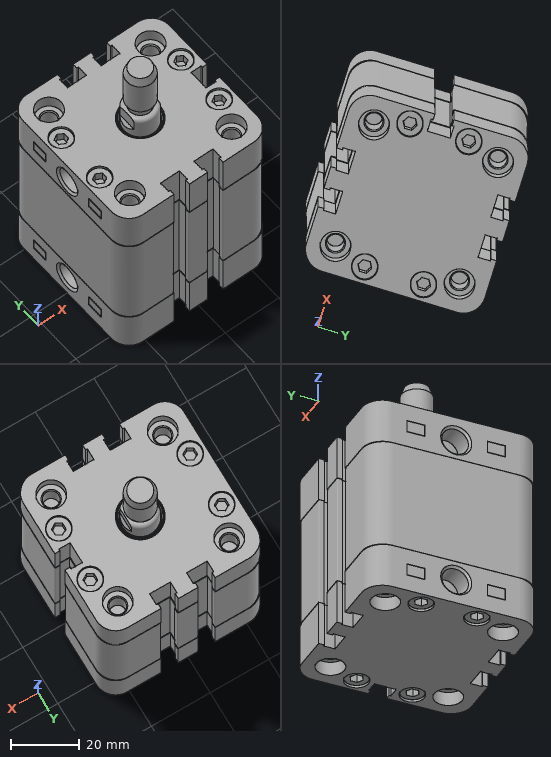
import cadquery as cq
import math


total_height = 91.0
body_height = 65.0
cover_height = 14.5
barrel_height = body_height - 2 * cover_height
front_cover_base = body_height - cover_height

cover_width = 54.8
cover_corner_radius = 6.6
barrel_inset = 0.1
barrel_width = cover_width - 2 * barrel_inset
barrel_corner_radius = 7.0

slot_depth = 5.55
slot_width = 7.0
slot_mouth_width = 5.8
slot_lip_depth = 1.8
slot_offset = 6.3
barrel_slot_clearance = 0.1
barrel_slot_depth = 5.3
barrel_slot_width = slot_width - 2 * barrel_slot_clearance
barrel_slot_mouth_width = slot_mouth_width - 2 * barrel_slot_clearance
barrel_slot_lip_depth = 1.6
barrel_slot_offset = 6.4
barrel_slot_mouth_radius = 0.3

port_distance = 8.0
port_diameter = 8.55
port_mouth_diameter = 10.0
cover_core_diameter = 40.0
label_distance = 7.4
label_offset = 13.0
label_length = 5.7
label_height = 3.8
label_depth = 0.2

mount_offset = 19.0
mount_bore_diameter = 9.0
mount_bore_depth = 4.55
thread_mouth_diameter = 5.9
thread_diameter = 5.2
thread_depth = 8.0

screw_x = 22.4
screw_y = 9.0
screw_hole_diameter = 7.7
screw_head_diameter = 7.5
screw_sink = 0.7
screw_edge_chamfer = (screw_hole_diameter - screw_head_diameter) / 2
socket_width = 3.6
socket_depth = 3.0

seal_mouth_diameter = 14.6
seal_groove_diameter = 14.0
seal_lip_diameter = 13.7
seal_lip_crest_diameter = 13.3
seal_bore_diameter = 12.6
seal_depth = 1.0
seal_mouth_chamfer = (seal_mouth_diameter - seal_groove_diameter) / 2
seal_flare_depth = 0.55

rod_diameter = 12.0
shoulder_height = 72.1
shoulder_fillet = 1.3
flats_width = 10.0
flats_base = 67.5
neck_diameter = 7.9
thread_end_diameter = 10.0
runout_bottom = 74.35
runout_top = runout_bottom + (thread_end_diameter - neck_diameter) / 2
tip_diameter = neck_diameter
tip_chamfer_base = 88.1


def t_slot(face_x, depth, width, mouth_width, lip_depth, mouth_radius, height):
    """T-slot cutter that opens through a face at X = face_x, its mouth edges rounded if a radius is given."""
    half = width / 2
    half_mouth = mouth_width / 2
    lip_x = face_x - lip_depth
    outline = (
        cq.Workplane("XY")
        .moveTo(face_x - depth, -half)
        .lineTo(lip_x, -half)
        .lineTo(lip_x, -half_mouth)
        .lineTo(face_x - mouth_radius, -half_mouth)
    )
    if mouth_radius > 0:
        outline = outline.radiusArc((face_x, -half_mouth - mouth_radius), mouth_radius)
        outline = outline.lineTo(face_x, half_mouth + mouth_radius)
        outline = outline.radiusArc((face_x - mouth_radius, half_mouth), mouth_radius)
    else:
        outline = outline.lineTo(face_x, half_mouth)
    outline = outline.lineTo(lip_x, half_mouth).lineTo(lip_x, half).lineTo(face_x - depth, half)
    return outline.close().extrude(height)


def slotted_block(width, corner_radius, height, slot, offset):
    """Square block with rounded vertical edges, cut by one slot on +X and a pair on each Y face."""
    block = cq.Workplane("XY").rect(width, width).extrude(height)
    block = block.edges("|Z").fillet(corner_radius)
    block = block.cut(slot)
    for face_angle in (90, -90):
        for side in (-1, 1):
            side_slot = slot.rotate((0, 0, 0), (0, 0, 1), face_angle)
            block = block.cut(side_slot.translate((side * offset, 0, 0)))
    return block


def revolved(profile):
    """Solid of revolution about Z from (radius, height) points."""
    return cq.Workplane("XZ").polyline(profile).close().revolve(360, (0, 0), (0, 1))


def side_port():
    """Chamfered port entering from -X and ending on the cover's round core."""
    face_x = -cover_width / 2
    radius = port_diameter / 2
    mouth_radius = port_mouth_diameter / 2
    chamfer = mouth_radius - radius
    port = revolved([
        (0, 0),
        (mouth_radius, 0),
        (radius, chamfer),
        (radius, cover_width / 2),
        (0, cover_width / 2),
    ])
    port = port.rotate((0, 0, 0), (0, 1, 0), 90)
    port = port.translate((face_x, 0, cover_height - port_distance))
    core = cq.Workplane("XY").circle(cover_core_diameter / 2).extrude(cover_height)
    return port.cut(core)


def mounting_hole():
    """Counterbored threaded corner hole, cut down from the cover's outer face."""
    bore_radius = mount_bore_diameter / 2
    mouth_radius = thread_mouth_diameter / 2
    radius = thread_diameter / 2
    bore_floor = cover_height - mount_bore_depth
    hole_bottom = bore_floor - thread_depth
    return revolved([
        (0, cover_height),
        (bore_radius, cover_height),
        (bore_radius, bore_floor),
        (mouth_radius, bore_floor),
        (radius, bore_floor - (mouth_radius - radius)),
        (radius, hole_bottom),
        (0, hole_bottom),
    ])


def screw_recess():
    """Space left around a sunk, chamfered screw head, with its hexagon socket."""
    head_top = cover_height - screw_sink
    recess = revolved([
        (0, cover_height),
        (screw_hole_diameter / 2, cover_height),
        (screw_hole_diameter / 2, head_top - screw_edge_chamfer),
        (screw_head_diameter / 2, head_top),
        (0, head_top),
    ])
    across_corners = socket_width / math.cos(math.pi / 6)
    socket = cq.Workplane("XY").polygon(6, across_corners).extrude(socket_depth)
    socket = socket.rotate((0, 0, 0), (0, 0, 1), 90)
    return recess.union(socket.translate((0, 0, head_top - socket_depth)))


def cover():
    """End cover with its outer face up and its inner face on Z = 0."""
    slot = t_slot(
        cover_width / 2, slot_depth, slot_width, slot_mouth_width, slot_lip_depth, 0, cover_height
    )
    body = slotted_block(cover_width, cover_corner_radius, cover_height, slot, slot_offset)
    body = body.cut(side_port())
    for side in (-1, 1):
        label = cq.Workplane("XY").box(
            label_depth, label_length, label_height, centered=(False, True, True)
        )
        label_z = cover_height - label_distance
        body = body.cut(label.translate((-cover_width / 2, side * label_offset, label_z)))
    for x_side in (-1, 1):
        for y_side in (-1, 1):
            body = body.cut(mounting_hole().translate((x_side * mount_offset, y_side * mount_offset, 0)))
            body = body.cut(screw_recess().translate((x_side * screw_x, y_side * screw_y, 0)))
    return body


def seal_groove():
    """Ring groove with a chamfered mouth around the sealing lip."""
    floor = cover_height - seal_depth
    return revolved([
        (seal_lip_diameter / 2, cover_height),
        (seal_mouth_diameter / 2, cover_height),
        (seal_groove_diameter / 2, cover_height - seal_mouth_chamfer),
        (seal_groove_diameter / 2, floor),
        (seal_lip_diameter / 2, floor),
    ])


def seal_bore():
    """Flared clearance around the rod, inside the sealing lip."""
    floor = cover_height - seal_depth
    return revolved([
        (0, cover_height),
        (seal_lip_crest_diameter / 2, cover_height),
        (seal_bore_diameter / 2, cover_height - seal_flare_depth),
        (seal_bore_diameter / 2, floor),
        (0, floor),
    ])


def front_cover():
    """Upper cover with the rod bore and the rod seal."""
    rod_bore = cq.Workplane("XY").circle(rod_diameter / 2).extrude(cover_height)
    body = cover().cut(rod_bore).cut(seal_groove()).cut(seal_bore())
    return body.translate((0, 0, front_cover_base))


def rear_cover():
    """Lower cover: the plain cover mirrored so that its outer face is down."""
    return cover().mirror("XY").translate((0, 0, cover_height))


def barrel():
    """Profile barrel between the two covers."""
    slot = t_slot(
        barrel_width / 2,
        barrel_slot_depth,
        barrel_slot_width,
        barrel_slot_mouth_width,
        barrel_slot_lip_depth,
        barrel_slot_mouth_radius,
        barrel_height,
    )
    body = slotted_block(barrel_width, barrel_corner_radius, barrel_height, slot, barrel_slot_offset)
    return body.translate((0, 0, cover_height))


def piston_rod():
    """Rod with wrench flats, undercut neck and threaded end, seated on the barrel's top."""
    shank = cq.Workplane("XY").workplane(offset=front_cover_base)
    shank = shank.circle(rod_diameter / 2).extrude(shoulder_height - front_cover_base)
    shank = shank.faces(">Z").edges().fillet(shoulder_fillet)

    flat_depth = (rod_diameter - flats_width) / 2
    flat = (
        cq.Workplane("XZ")
        .moveTo(flats_width / 2, shoulder_height)
        .lineTo(flats_width / 2, flats_base)
        .lineTo(rod_diameter / 2, flats_base - flat_depth)
        .lineTo(rod_diameter / 2, shoulder_height)
        .close()
        .extrude(rod_diameter / 2, both=True)
    )
    shank = shank.cut(flat).cut(flat.mirror("YZ"))

    threaded_end = revolved([
        (0, shoulder_height),
        (neck_diameter / 2, shoulder_height),
        (neck_diameter / 2, runout_bottom),
        (thread_end_diameter / 2, runout_top),
        (thread_end_diameter / 2, tip_chamfer_base),
        (tip_diameter / 2, total_height),
        (0, total_height),
    ])
    return shank.union(threaded_end)


result = cq.Compound.makeCompound([
    rear_cover().val(),
    barrel().val(),
    front_cover().val(),
    piston_rod().val(),
])